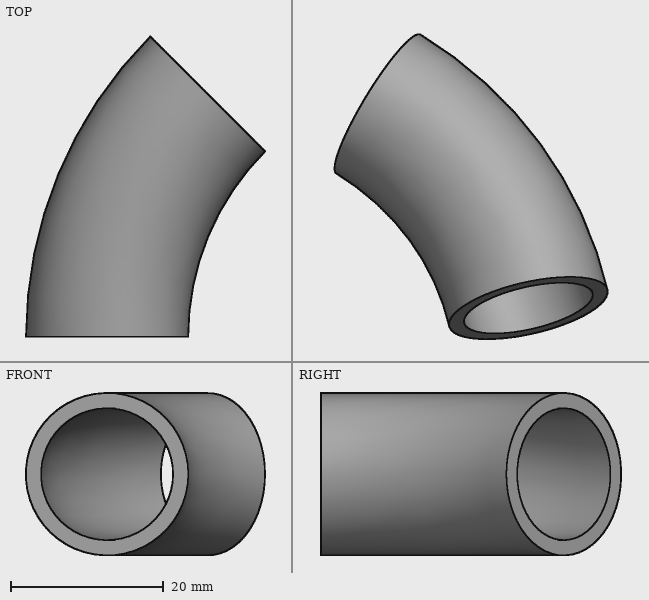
import cadquery as cq
import math

overall_length = 39.35
outer_diameter = 21.3
wall_thickness = 2.0
bend_angle = 45.0

outer_radius = outer_diameter / 2
inner_radius = outer_radius - wall_thickness
bend_radius = overall_length / math.sin(math.radians(bend_angle)) - outer_radius


def pipe_elbow():
    """Sweep the pipe's ring section about a bend axis parallel to Z, on the +X side."""
    ring = cq.Workplane("XZ").circle(outer_radius).circle(inner_radius)
    axis_start = (bend_radius, 0)
    axis_end = (bend_radius, -1)
    return ring.revolve(bend_angle, axis_start, axis_end)


result = pipe_elbow()